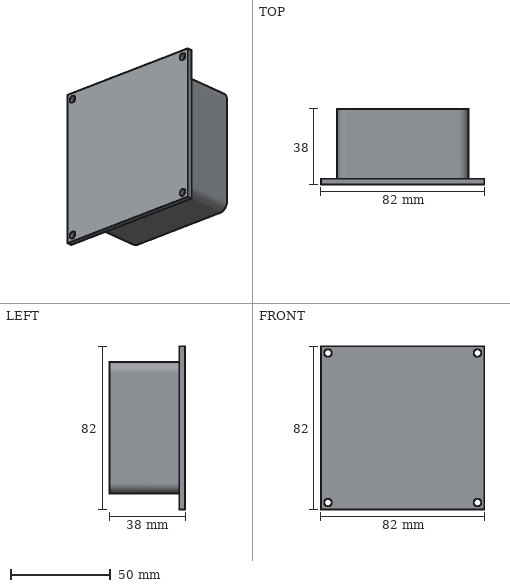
import cadquery as cq

plate_side = 82.0
plate_thickness = 3.0

overall_depth = 38.0
body_side = 66.0
body_corner_radius = 5.0
body_depth = overall_depth - plate_thickness

hole_diameter = 3.7
hole_edge_distance = 3.5
hole_spacing = plate_side - 2 * hole_edge_distance


def square_prism(side, front_y, depth):
    """Square block centred on the Y axis, running from front_y toward +Y."""
    return cq.Workplane("XZ", origin=(0, front_y, 0)).rect(side, side).extrude(-depth)


def mounting_plate():
    holes = (
        cq.Workplane("XZ")
        .rect(hole_spacing, hole_spacing, forConstruction=True)
        .vertices()
        .circle(hole_diameter / 2)
        .extrude(-plate_thickness)
    )
    return square_prism(plate_side, 0, plate_thickness).cut(holes)


def body():
    block = square_prism(body_side, plate_thickness, body_depth)
    return block.edges("|Y").fillet(body_corner_radius)


result = mounting_plate().union(body())